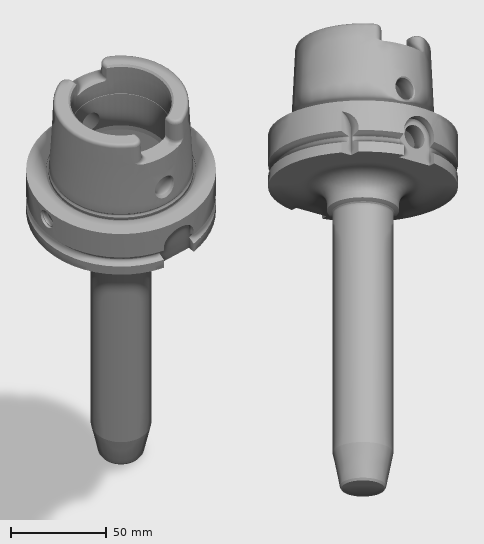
import cadquery as cq
import math


shank_height = 50.0
taper_gauge_radius = 37.5
taper_gauge_height = 12.5
taper_slope = 0.05
rim_fillet = 2.0
relief_top = 3.2
relief_bottom = 1.0
relief_radius = 37.2
relief_bevel = 0.7
land_radius = 38.2
face_recess_radius = 39.5
face_recess_depth = 0.7

flange_radius = 50.0
flange_height = 29.0
groove_center_depth = 20.0
groove_mouth_half = 3.2
groove_floor_half = 1.2
groove_floor_radius = 46.2
groove_floor_fillet = 0.2

collar_radius = 19.0
collar_fillet = 10.0
collar_bottom = 42.5
collar_bevel_radius = 16.5
collar_bevel_bottom = 43.7
nose_top = 44.5
nose_radius = 16.0
nose_taper_start = 180.0
nose_bottom = 200.0
nose_tip_radius = 12.2
nose_tip_chamfer = 0.7
nose_tip_chamfer_height = 1.2

bore_radius = 26.7
bore_chamfer = 1.0
bore_step_height = 30.0
bore_lower_radius = 26.5
bore_floor_chamfer = 1.5
bore_floor_height = 6.0
pocket_radius = 11.2
pocket_depth = 1.2
center_hole_radius = 1.2
center_hole_chamfer = 0.7
center_hole_depth = 5.0

key_width = 20.0
shallow_key_depth = 10.0
deep_key_depth = 14.5
key_side_fillet = 4.5
key_floor_fillet = 1.7

cross_hole_radius = 6.0
cross_hole_sink = 1.0
cross_hole_height = 15.0

flange_slot_width = 20.0
flange_slot_floor = 45.0
arch_center_depth = 15.0
notch_wall = 32.0
slot_hole_radius = 6.5
slot_hole_depth = 8.7
slot_hole_tip = 3.7
chip_mouth_radius = 5.2
chip_mouth_depth = 1.5
chip_hole_radius = 4.7
chip_hole_depth = 4.5
chip_mark_radius = 0.7
chip_mark_depth = 5.2
chip_hole_center_depth = 6.7


def taper_radius(z):
    """Outer radius of the shank taper at height z."""
    return taper_gauge_radius - taper_slope * (z - taper_gauge_height)


def make_body():
    """Revolve the outer outline of the holder."""
    fillet_start = collar_radius + collar_fillet
    fillet_mid = collar_fillet * (1 - math.sqrt(0.5))
    outline = (
        cq.Workplane("XZ")
        .moveTo(0, shank_height)
        .lineTo(taper_radius(shank_height), shank_height)
        .lineTo(taper_radius(relief_top), relief_top)
        .lineTo(relief_radius, relief_top - relief_bevel)
        .lineTo(relief_radius, relief_bottom + relief_bevel)
        .lineTo(land_radius, relief_bottom)
        .lineTo(land_radius, -face_recess_depth)
        .lineTo(face_recess_radius, -face_recess_depth)
        .lineTo(face_recess_radius, 0)
        .lineTo(flange_radius, 0)
        .lineTo(flange_radius, -groove_center_depth + groove_mouth_half)
        .lineTo(groove_floor_radius, -groove_center_depth + groove_floor_half)
        .lineTo(groove_floor_radius, -groove_center_depth - groove_floor_half)
        .lineTo(flange_radius, -groove_center_depth - groove_mouth_half)
        .lineTo(flange_radius, -flange_height)
        .lineTo(fillet_start, -flange_height)
        .threePointArc(
            (collar_radius + fillet_mid, -flange_height - fillet_mid),
            (collar_radius, -flange_height - collar_fillet),
        )
        .lineTo(collar_radius, -collar_bottom)
        .lineTo(collar_bevel_radius, -collar_bevel_bottom)
        .lineTo(nose_radius, -nose_top)
        .lineTo(nose_radius, -nose_taper_start)
        .lineTo(nose_tip_radius, -nose_bottom + nose_tip_chamfer_height)
        .lineTo(nose_tip_radius - nose_tip_chamfer, -nose_bottom)
        .lineTo(0, -nose_bottom)
        .close()
    )
    body = outline.revolve(360, (0, 0), (0, 1))
    zone_half = (groove_floor_half + groove_mouth_half) / 2
    floor_zone = cq.selectors.BoxSelector(
        (-flange_radius, -flange_radius, -groove_center_depth - zone_half),
        (flange_radius, flange_radius, -groove_center_depth + zone_half),
    )
    return body.edges(floor_zone).edges("%CIRCLE").fillet(groove_floor_fillet)


def cut_bore(body):
    """Stepped bore with a shallow round pocket and a small center hole in its floor."""
    pocket_floor = bore_floor_height - pocket_depth
    bore = (
        cq.Workplane("XZ")
        .moveTo(0, shank_height)
        .lineTo(bore_radius + bore_chamfer, shank_height)
        .lineTo(bore_radius, shank_height - bore_chamfer)
        .lineTo(bore_radius, bore_step_height)
        .lineTo(bore_lower_radius, bore_step_height)
        .lineTo(bore_lower_radius, bore_floor_height + bore_floor_chamfer)
        .lineTo(bore_lower_radius - bore_floor_chamfer, bore_floor_height)
        .lineTo(pocket_radius, bore_floor_height)
        .lineTo(pocket_radius, pocket_floor)
        .lineTo(center_hole_radius + center_hole_chamfer, pocket_floor)
        .lineTo(center_hole_radius, pocket_floor - center_hole_chamfer)
        .lineTo(center_hole_radius, pocket_floor - center_hole_depth)
        .lineTo(0, pocket_floor - center_hole_depth)
        .close()
        .revolve(360, (0, 0), (0, 1))
    )
    return body.cut(bore)


def box_at(x, y, z, half_size=2.0):
    """Selector for the edges centered in a small cube."""
    return cq.selectors.BoxSelector(
        (x - half_size, y - half_size, z - half_size),
        (x + half_size, y + half_size, z + half_size),
    )


def cut_key_slot(body, side, depth):
    """Driver slot through the rim on the +X (side = 1) or -X (side = -1) side."""
    floor = shank_height - depth
    mid_height = shank_height - depth / 2
    half = key_width / 2
    slot = (
        cq.Workplane("XY", origin=(side * flange_radius / 2, 0, floor))
        .rect(flange_radius, key_width)
        .extrude(depth)
    )
    body = body.cut(slot)
    mouth_x = side * math.sqrt(taper_radius(mid_height) ** 2 - half**2)
    for y in (half, -half):
        body = body.edges(box_at(mouth_x, y, mid_height)).fillet(key_side_fillet)
    floor_mid_x = side * (abs(mouth_x) - key_side_fillet) / 2
    for y in (half, -half):
        body = body.edges(box_at(floor_mid_x, y, floor)).fillet(key_floor_fillet)
    return body


def round_rim(body):
    """Round the outer and slot-side edges of the two rim segments, before the bore is cut."""
    return body.faces(">Z").edges().fillet(rim_fillet)


def arch_cutter(center_y, inner, outer):
    """Round-topped slot cutter along X between two X positions, open at the flange underside."""
    half = flange_slot_width / 2
    return (
        cq.Workplane("YZ", origin=(inner, 0, 0))
        .moveTo(center_y - half, -flange_height)
        .lineTo(center_y - half, -arch_center_depth)
        .threePointArc((center_y, half - arch_center_depth), (center_y + half, -arch_center_depth))
        .lineTo(center_y + half, -flange_height)
        .close()
        .extrude(outer - inner)
    )


def cut_flange_slots(body):
    """Two opposite driver slots and a corner notch on the -X, +Y side."""
    outer = flange_radius
    body = body.cut(arch_cutter(0, flange_slot_floor, outer))
    body = body.cut(arch_cutter(0, -flange_slot_floor, -outer))
    body = body.cut(arch_cutter(notch_wall + flange_slot_width / 2, -notch_wall, -outer))
    return body


def cut_slot_hole(body):
    """Blind drilled hole with a conical end in the floor of the -X flange slot."""
    hole = (
        cq.Workplane("XZ", origin=(-flange_slot_floor, 0, -arch_center_depth))
        .lineTo(0, slot_hole_radius)
        .lineTo(slot_hole_depth, slot_hole_radius)
        .lineTo(slot_hole_depth + slot_hole_tip, 0)
        .close()
        .revolve(360, (0, 0), (1, 0))
    )
    return body.cut(hole)


def cut_chip_hole(body):
    """Stepped data-chip hole with a center mark, in the -Y side of the flange."""
    steps = (
        (chip_mouth_radius, chip_mouth_depth),
        (chip_hole_radius, chip_hole_depth),
        (chip_mark_radius, chip_mark_depth),
    )
    for radius, depth in steps:
        hole = (
            cq.Workplane("XZ", origin=(0, -flange_radius, -chip_hole_center_depth))
            .circle(radius)
            .extrude(-depth)
        )
        body = body.cut(hole)
    return body


def cut_cross_hole(body):
    """Hole along X through both walls of the shank, countersunk at each outer mouth."""
    mouth_x = taper_radius(cross_hole_height)
    wide_radius = cross_hole_radius + 2 * cross_hole_sink
    for side in (1, -1):
        hole = (
            cq.Workplane("XZ", origin=(0, 0, cross_hole_height))
            .lineTo(0, cross_hole_radius)
            .lineTo(side * (mouth_x - cross_hole_sink), cross_hole_radius)
            .lineTo(side * (mouth_x + cross_hole_sink), wide_radius)
            .lineTo(side * (mouth_x + cross_hole_sink), 0)
            .close()
            .revolve(360, (0, 0), (1, 0))
        )
        body = body.cut(hole)
    return body


result = make_body()
result = cut_key_slot(result, -1, shallow_key_depth)
result = cut_key_slot(result, 1, deep_key_depth)
result = round_rim(result)
result = cut_bore(result)
result = cut_cross_hole(result)
result = cut_flange_slots(result)
result = cut_slot_hole(result)
result = cut_chip_hole(result)